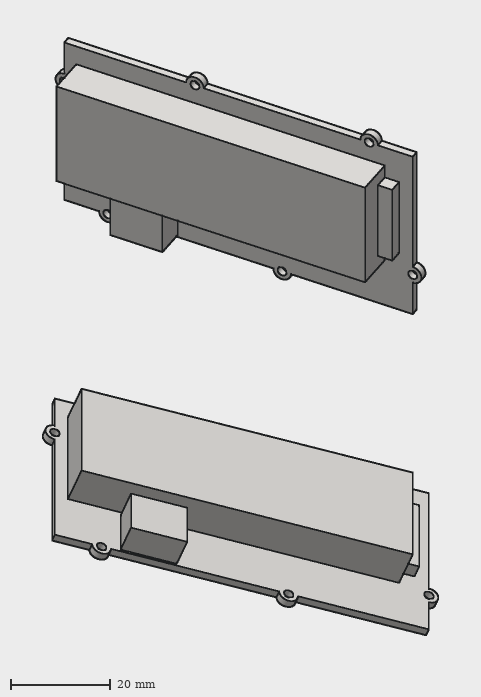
import cadquery as cq

board_length = 80.0
board_height = 40.0
board_thickness = 1.8

ear_radius = 2.0
ear_hole_diameter = 2.0
ear_corner_distance = 10.0
ear_spacing = 4 * ear_corner_distance

display_length = 70.8
display_height = 24.0
display_depth = 8.4
display_left_margin = 2.8
display_top_margin = 4.5

strip_length = 3.3
strip_height = 18.0
strip_depth = 2.9

component_length = 12.0
component_height = 10.0
component_depth = 6.5
component_left_margin = 14.0
component_bottom_margin = 0.5

left = -board_length / 2
right = board_length / 2
bottom = -board_height / 2
top = board_height / 2

display_left = left + display_left_margin
display_bottom = top - display_top_margin - display_height
strip_left = display_left + display_length
strip_bottom = display_bottom + (display_height - strip_height) / 2

lower_ears = [
    (left + ear_corner_distance, bottom),
    (left + ear_corner_distance + ear_spacing, bottom),
    (right, bottom + ear_corner_distance),
]
ear_centers = lower_ears + [(-x, -z) for x, z in lower_ears]


def make_board():
    """Plate with drilled ears, extruded from Y = 0 toward -Y."""
    plate = cq.Workplane("XZ").rect(board_length, board_height).extrude(board_thickness)
    ears = cq.Workplane("XZ").pushPoints(ear_centers).circle(ear_radius).extrude(board_thickness)
    holes = (
        cq.Workplane("XZ").pushPoints(ear_centers)
        .circle(ear_hole_diameter / 2).extrude(board_thickness)
    )
    return plate.union(ears).cut(holes)


def front_block(x_min, z_min, length, height, depth):
    """Rectangular block standing on the front face of the board."""
    return (
        cq.Workplane("XZ", origin=(0, -board_thickness, 0))
        .moveTo(x_min, z_min)
        .rect(length, height, centered=False)
        .extrude(depth)
    )


display = front_block(display_left, display_bottom, display_length, display_height, display_depth)
strip = front_block(strip_left, strip_bottom, strip_length, strip_height, strip_depth)
component = front_block(
    left + component_left_margin,
    bottom + component_bottom_margin,
    component_length,
    component_height,
    component_depth,
)

result = make_board().union(display).union(strip).union(component)